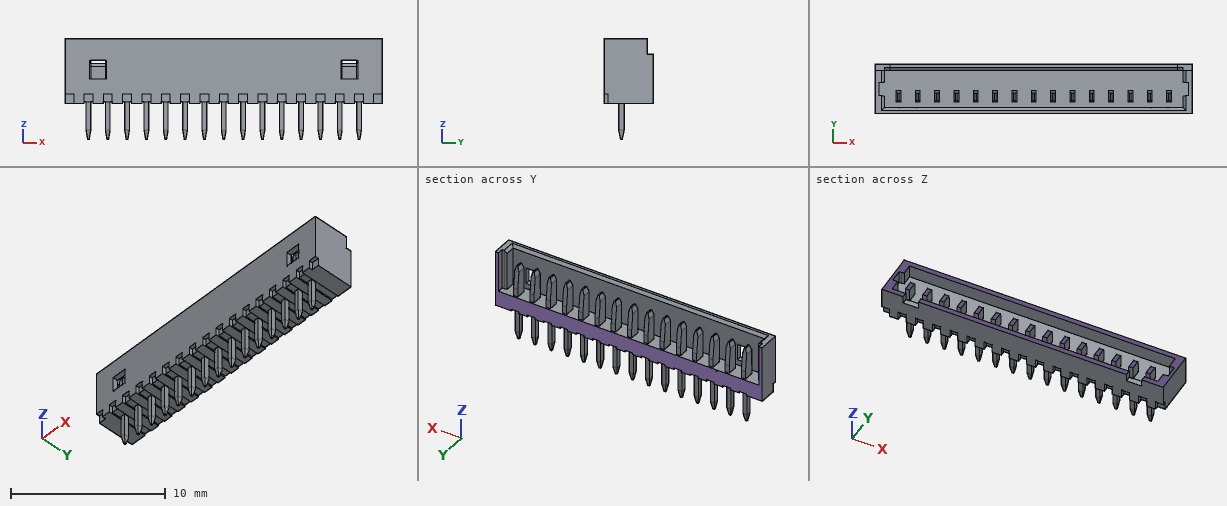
import cadquery as cq

PIN_COUNT = 15
PIN_PITCH = 1.25
END_MARGIN = 1.5

BODY_LENGTH = (PIN_COUNT - 1) * PIN_PITCH + 2 * END_MARGIN
BODY_DEPTH = 3.2
BODY_HEIGHT = 4.2
PIN_TO_FRONT = 1.125
FRONT_Y = -PIN_TO_FRONT
BACK_Y = FRONT_Y + BODY_DEPTH

SIDE_WALL = 0.4
END_WALL = 0.6
FLOOR_HEIGHT = 1.2
RIM_CHAMFER = 0.2
CAVITY_LENGTH = BODY_LENGTH - 2 * END_WALL
CAVITY_FRONT_Y = FRONT_Y + SIDE_WALL
CAVITY_BACK_Y = BACK_Y - SIDE_WALL

POST_HEIGHT = 3.2
POST_LENGTH = 0.94
BACK_WALL_HEIGHT = 2.6

SLOT_WIDTH = 0.84
SLOT_TO_FRONT = 1.17
SLOT_FRONT_Y = FRONT_Y + SLOT_TO_FRONT
SLOT_REMAINING_WALL = 0.25
SLOT_FLARE = 0.04
SLOT_FLARE_LENGTH = 0.18

WINDOW_WIDTH = 1.1
WINDOW_BOTTOM = 1.6
WINDOW_HEIGHT = 1.2

NOTCH_WIDTH = 0.57
NOTCH_DEPTH = 0.27
NOTCH_HEIGHT = 0.62
GROOVE_HEIGHT = 0.12

PIN_JOINT_Z = FLOOR_HEIGHT / 2
TAIL_WIDTH = 0.32
TAIL_DEPTH = 0.37
TAIL_LENGTH = 2.3
TAIL_TIP_LENGTH = 0.6
TAIL_TIP_SIZE = 0.12
BLADE_WIDTH = TAIL_WIDTH
BLADE_DEPTH = 0.75
BLADE_TOP = 3.45
BLADE_TIP_LENGTH = 0.4
BLADE_TIP_WIDTH = 0.1
BLADE_FRONT_SLOPE = 0.12
BLADE_BACK_SLOPE = 0.18
BLADE_BACK_SHOULDER = 1.8

PIN_POSITIONS = [(i - (PIN_COUNT - 1) / 2) * PIN_PITCH for i in range(PIN_COUNT)]
ENDS = (-1, 1)


def block(x_center, x_size, y_front, y_back, z_bottom, z_top):
    """Box centred on x_center that spans the given Y and Z ranges."""
    return (
        cq.Workplane("XY")
        .box(x_size, y_back - y_front, z_top - z_bottom, centered=(True, False, False))
        .translate((x_center, y_front, z_bottom))
    )


def chamfer_cutter(length, y_front, y_back, z_top):
    """Funnel that chamfers the rim of a rectangular opening whose top is at z_top."""
    depth = y_back - y_front
    return (
        cq.Workplane("XY", origin=(0, (y_front + y_back) / 2, z_top))
        .rect(length + 2 * RIM_CHAMFER, depth + 2 * RIM_CHAMFER)
        .workplane(offset=-RIM_CHAMFER)
        .rect(length, depth)
        .loft(ruled=True)
    )


def back_chamfer(length, z_top):
    """Wedge that chamfers the inner top edge of the back wall."""
    return (
        cq.Workplane("YZ", origin=(-length / 2, 0, 0))
        .moveTo(CAVITY_BACK_Y, z_top - RIM_CHAMFER)
        .lineTo(CAVITY_BACK_Y + RIM_CHAMFER, z_top)
        .lineTo(CAVITY_BACK_Y, z_top)
        .close()
        .extrude(length)
    )


def make_shell():
    """Open-topped box with a stepped back wall and chamfered rims."""
    gap_length = BODY_LENGTH - 2 * POST_LENGTH
    shell = block(0, BODY_LENGTH, FRONT_Y, BACK_Y, 0, BODY_HEIGHT)
    shell = shell.cut(block(0, CAVITY_LENGTH, CAVITY_FRONT_Y, CAVITY_BACK_Y, FLOOR_HEIGHT, BODY_HEIGHT))
    shell = shell.cut(chamfer_cutter(CAVITY_LENGTH, CAVITY_FRONT_Y, CAVITY_BACK_Y, BODY_HEIGHT))
    shell = shell.cut(block(0, BODY_LENGTH, CAVITY_BACK_Y, BACK_Y, POST_HEIGHT, BODY_HEIGHT))
    shell = shell.cut(block(0, gap_length, CAVITY_BACK_Y, BACK_Y, BACK_WALL_HEIGHT, POST_HEIGHT))
    shell = shell.cut(back_chamfer(CAVITY_LENGTH, POST_HEIGHT))
    return shell.cut(back_chamfer(gap_length, BACK_WALL_HEIGHT))


def cut_end_slots(body):
    """Vertical keying slot in the inner face of each end wall, with a slightly flared mouth."""
    slot_back_y = SLOT_FRONT_Y + SLOT_WIDTH
    floor_x = BODY_LENGTH / 2 - SLOT_REMAINING_WALL
    mouth_x = CAVITY_LENGTH / 2
    flare_x = mouth_x + SLOT_FLARE_LENGTH
    slot = (
        cq.Workplane("XY", origin=(0, 0, FLOOR_HEIGHT))
        .moveTo(floor_x, SLOT_FRONT_Y)
        .lineTo(floor_x, slot_back_y)
        .lineTo(flare_x, slot_back_y)
        .lineTo(mouth_x, slot_back_y + SLOT_FLARE)
        .lineTo(mouth_x, SLOT_FRONT_Y - SLOT_FLARE)
        .lineTo(flare_x, SLOT_FRONT_Y)
        .close()
        .extrude(BODY_HEIGHT - FLOOR_HEIGHT)
    )
    return body.cut(slot).cut(slot.mirror("YZ"))


def cut_windows(body):
    """Latch windows through the front wall near both ends."""
    window_x = (PIN_POSITIONS[-1] + PIN_POSITIONS[-2]) / 2
    window_top = WINDOW_BOTTOM + WINDOW_HEIGHT
    for end in ENDS:
        body = body.cut(
            block(end * window_x, WINDOW_WIDTH, FRONT_Y, CAVITY_FRONT_Y, WINDOW_BOTTOM, window_top)
        )
    return body


def cut_bottom_notches(body):
    """Front notches under every pin and at both corners, plus a shallow groove under every pin."""
    corner_x = (BODY_LENGTH - NOTCH_WIDTH) / 2
    notch_back_y = FRONT_Y + NOTCH_DEPTH
    for x in PIN_POSITIONS + [end * corner_x for end in ENDS]:
        body = body.cut(block(x, NOTCH_WIDTH, FRONT_Y, notch_back_y, 0, NOTCH_HEIGHT))
    for x in PIN_POSITIONS:
        body = body.cut(block(x, NOTCH_WIDTH, FRONT_Y, BACK_Y, 0, GROOVE_HEIGHT))
    return body


def make_blade():
    """Flat mating blade: a side profile in YZ trimmed by a pointed front profile in XZ."""
    shoulder_z = BLADE_TOP - BLADE_TIP_LENGTH
    half_width = BLADE_WIDTH / 2
    half_depth = BLADE_DEPTH / 2
    side_profile = (
        cq.Workplane("YZ", origin=(-half_width, 0, 0))
        .moveTo(-half_depth, PIN_JOINT_Z)
        .lineTo(-half_depth, shoulder_z)
        .lineTo(BLADE_FRONT_SLOPE - half_depth, BLADE_TOP)
        .lineTo(half_depth - BLADE_BACK_SLOPE, BLADE_TOP)
        .lineTo(half_depth, BLADE_BACK_SHOULDER)
        .lineTo(half_depth, PIN_JOINT_Z)
        .close()
        .extrude(BLADE_WIDTH)
    )
    front_profile = (
        cq.Workplane("XZ", origin=(0, half_depth, 0))
        .moveTo(-half_width, PIN_JOINT_Z)
        .lineTo(-half_width, shoulder_z)
        .lineTo(-BLADE_TIP_WIDTH / 2, BLADE_TOP)
        .lineTo(BLADE_TIP_WIDTH / 2, BLADE_TOP)
        .lineTo(half_width, shoulder_z)
        .lineTo(half_width, PIN_JOINT_Z)
        .close()
        .extrude(BLADE_DEPTH)
    )
    return side_profile.intersect(front_profile)


def make_tail():
    """Solder tail that runs down from inside the floor to a four-sided tapered tip."""
    shoulder_z = TAIL_TIP_LENGTH - TAIL_LENGTH
    tip = (
        cq.Workplane("XY", origin=(0, 0, shoulder_z))
        .rect(TAIL_WIDTH, TAIL_DEPTH)
        .workplane(offset=-TAIL_TIP_LENGTH)
        .rect(TAIL_TIP_SIZE, TAIL_TIP_SIZE)
        .loft(ruled=True)
    )
    shank = block(0, TAIL_WIDTH, -TAIL_DEPTH / 2, TAIL_DEPTH / 2, shoulder_z, PIN_JOINT_Z)
    return shank.union(tip)


housing = cut_bottom_notches(cut_windows(cut_end_slots(make_shell())))
pin = make_blade().union(make_tail())
for pin_x in PIN_POSITIONS:
    housing = housing.union(pin.translate((pin_x, 0, 0)))

result = housing